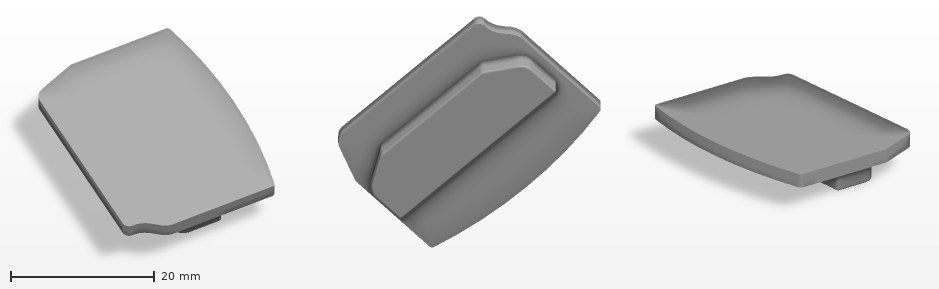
import cadquery as cq

width = 33.0
depth = 24.12
total_height = 4.9
plate_thickness = 2.0
shoulder_y = 22.18
shoulder_radius = 0.5
bevel_x = 2.75
bevel_y = 6.85
bevel_front_radius = 1.98
bevel_side_radius = 0.65

notch_x = 30.65
notch_corner_radius = 0.95
notch_wall_y = 1.15
hollow_mid = (30.85, 2.3)
hollow_end = (31.4, 3.35)
ramp_end = (31.88, 3.95)
shoulder_start = (32.1, 4.22)
shoulder_mid = (32.67, 5.0)
notch_top_y = 5.95

pad_height = total_height - plate_thickness
pad_side_gap = 1.35
pad_left = pad_side_gap
pad_right = width - pad_side_gap
pad_front = 4.98
pad_rear = 14.52
pad_front_half_length = 9.77
pad_slant_side_y = 8.3
pad_side_radius = 2.38
pad_front_radius = 1.05
pad_rear_radius = 0.33
pad_edge_radius = 0.3


def round_corner(body, x, y, radius):
    """Round the vertical edge standing nearest to the point (x, y)."""
    middle_z = body.val().BoundingBox().center.z
    nearest = cq.selectors.NearestToPointSelector((x, y, middle_z))
    return body.edges("|Z").edges(nearest).fillet(radius)


def make_plate():
    """Plate with a crowned rear edge, a slanted left corner and a notched right corner."""
    plate = (
        cq.Workplane("XY")
        .moveTo(bevel_x, 0)
        .lineTo(notch_x, 0)
        .lineTo(notch_x, notch_wall_y)
        .threePointArc(hollow_mid, hollow_end)
        .lineTo(*ramp_end)
        .lineTo(*shoulder_start)
        .threePointArc(shoulder_mid, (width, notch_top_y))
        .lineTo(width, shoulder_y)
        .threePointArc((width / 2, depth), (0, shoulder_y))
        .lineTo(0, bevel_y)
        .close()
        .extrude(plate_thickness)
    )
    plate = round_corner(plate, bevel_x, 0, bevel_front_radius)
    plate = round_corner(plate, 0, bevel_y, bevel_side_radius)
    plate = round_corner(plate, notch_x, 0, notch_corner_radius)
    for x in (0, width):
        plate = round_corner(plate, x, shoulder_y, shoulder_radius)
    return plate.translate((0, 0, pad_height))


def make_pad():
    """Pad with two slanted front corners and a rounded lower rim."""
    front_left = width / 2 - pad_front_half_length
    front_right = width / 2 + pad_front_half_length
    pad = (
        cq.Workplane("XY")
        .moveTo(front_left, pad_front)
        .lineTo(front_right, pad_front)
        .lineTo(pad_right, pad_slant_side_y)
        .lineTo(pad_right, pad_rear)
        .lineTo(pad_left, pad_rear)
        .lineTo(pad_left, pad_slant_side_y)
        .close()
        .extrude(pad_height)
    )
    for x in (front_left, front_right):
        pad = round_corner(pad, x, pad_front, pad_front_radius)
    for x in (pad_left, pad_right):
        pad = round_corner(pad, x, pad_slant_side_y, pad_side_radius)
        pad = round_corner(pad, x, pad_rear, pad_rear_radius)
    return pad.faces("<Z").edges().fillet(pad_edge_radius)


result = make_plate().union(make_pad())